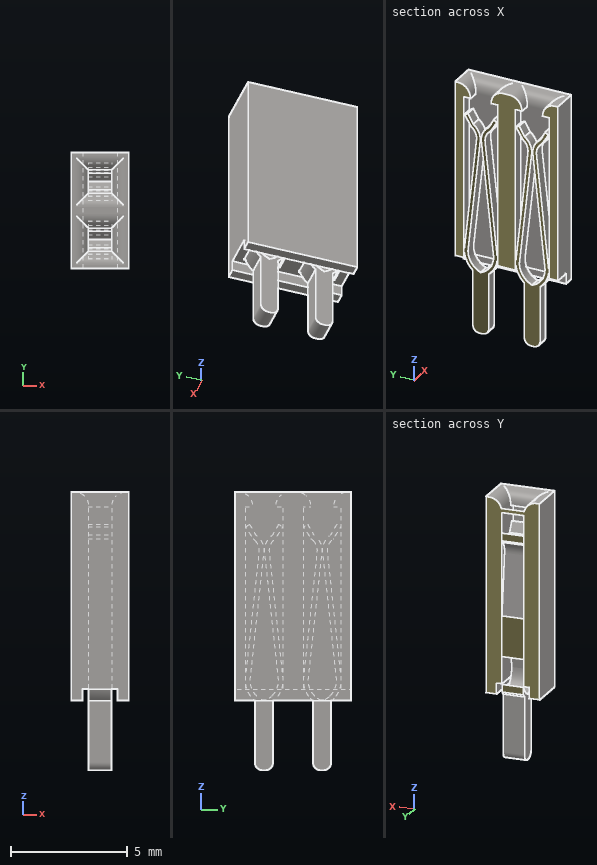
import cadquery as cq
import math

housing_width = 2.5
housing_length = 5.0
housing_height = 9.0
cell_count = 2
cell_pitch = housing_length / cell_count
foot_slot_width = 1.5
foot_slot_depth = 0.5

rim_width = 0.15
throat_size = 1.0
mouth_size = housing_width - 2 * rim_width
mouth_radius = (mouth_size - throat_size) / 2
throat_depth = 0.05
cavity_half_length = 0.82
cavity_top = housing_height - mouth_radius - throat_depth

contact_width = throat_size
pin_half_thickness = 0.4
pin_length = 3.0
pin_tip_radius = 0.34
leaf_thickness = 0.2
shoulder_radius = 1.18
pinch_half_gap = 0.01
pinch_radius = 0.82
pinch_height = 6.48
pinch_end_angle = math.radians(55)
lip_angle = math.radians(30)
lip_half_opening = 0.62

cell_centres = [(i - (cell_count - 1) / 2) * cell_pitch for i in range(cell_count)]


def make_mouth():
    """Square funnel whose four walls are convex quarter cylinders."""
    top_half = mouth_size / 2
    throat_half = throat_size / 2
    bottom = housing_height - mouth_radius
    bend = mouth_radius * math.sqrt(0.5)
    trough = (
        cq.Workplane("YZ")
        .moveTo(-throat_half, bottom)
        .lineTo(throat_half, bottom)
        .threePointArc((top_half - bend, bottom + bend), (top_half, housing_height))
        .lineTo(-top_half, housing_height)
        .threePointArc((bend - top_half, bottom + bend), (-throat_half, bottom))
        .close()
        .extrude(top_half, both=True)
    )
    return trough.intersect(trough.rotate((0, 0, 0), (0, 0, 1), 90))


def make_socket():
    """Space removed from the housing for one cell, centred on Y = 0."""
    throat = cq.Workplane("XY").rect(throat_size, throat_size).extrude(housing_height - mouth_radius)
    cavity = cq.Workplane("XY").rect(contact_width, 2 * cavity_half_length).extrude(cavity_top)
    return make_mouth().union(throat).union(cavity)


def make_housing():
    block = cq.Workplane("XY").rect(housing_width, housing_length).extrude(housing_height)
    foot_slot = cq.Workplane("XY").rect(foot_slot_width, housing_length).extrude(foot_slot_depth)
    body = block.cut(foot_slot)
    for centre in cell_centres:
        body = body.cut(make_socket().translate((0, centre, 0)))
    return body


def make_half_contact():
    """Half of the contact on the +Y side of its mid-plane."""
    shoulder_y = cavity_half_length - shoulder_radius
    shoulder_angle = math.acos((pin_half_thickness - shoulder_y) / shoulder_radius)
    shoulder_z = shoulder_radius * math.sin(shoulder_angle)
    inner_radius = shoulder_radius - leaf_thickness
    fork_angle = math.acos(-shoulder_y / inner_radius)

    def shoulder(radius, angle):
        return (shoulder_y + radius * math.cos(angle), shoulder_z - radius * math.sin(angle))

    pinch_y = pinch_half_gap + pinch_radius
    outer_pinch_radius = pinch_radius - leaf_thickness
    leaf_angle = -math.atan2(cavity_half_length - leaf_thickness, pinch_height - shoulder_z)

    def pinch(radius, angle):
        return (pinch_y - radius * math.cos(angle), pinch_height + radius * math.sin(angle))

    lip_start = pinch(pinch_radius, pinch_end_angle)
    lip_length = (lip_half_opening - lip_start[0]) / math.sin(lip_angle)

    lip_end = (lip_half_opening, lip_start[1] + lip_length * math.cos(lip_angle))
    lip_outer_end = (
        lip_end[0] + leaf_thickness * math.cos(lip_angle),
        lip_end[1] - leaf_thickness * math.sin(lip_angle),
    )

    return (
        cq.Workplane("YZ")
        .moveTo(0, -pin_length)
        .lineTo(pin_half_thickness - pin_tip_radius, -pin_length)
        .radiusArc((pin_half_thickness, pin_tip_radius - pin_length), -pin_tip_radius)
        .lineTo(pin_half_thickness, 0)
        .threePointArc(shoulder(shoulder_radius, shoulder_angle / 2), shoulder(shoulder_radius, 0))
        .lineTo(*pinch(outer_pinch_radius, leaf_angle))
        .threePointArc(pinch(outer_pinch_radius, 0), pinch(outer_pinch_radius, pinch_end_angle))
        .lineTo(*lip_outer_end)
        .lineTo(*lip_end)
        .lineTo(*lip_start)
        .threePointArc(pinch(pinch_radius, 0), pinch(pinch_radius, leaf_angle))
        .lineTo(*shoulder(inner_radius, 0))
        .threePointArc(shoulder(inner_radius, fork_angle / 2), shoulder(inner_radius, fork_angle))
        .close()
        .extrude(contact_width / 2, both=True)
    )


def make_contact(centre):
    half = make_half_contact()
    return half.union(half.mirror("XZ")).clean().translate((0, centre, 0))


housing = make_housing()
contacts = [make_contact(centre) for centre in cell_centres]

bodies = [solid for body in [housing, *contacts] for solid in body.solids().vals()]
result = cq.Compound.makeCompound(bodies)